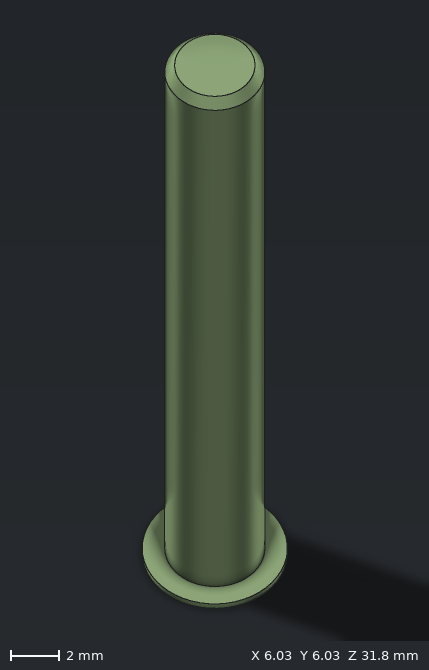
import cadquery as cq

total_length = 31.75
flange_diameter = 6.03
flange_thickness = 0.302
pin_diameter = 4.15
tip_chamfer = 0.4

flange = cq.Workplane("XY").circle(flange_diameter / 2).extrude(flange_thickness)

pin = (
    cq.Workplane("XY")
    .circle(pin_diameter / 2)
    .extrude(total_length)
    .faces(">Z")
    .chamfer(tip_chamfer)
)

result = flange.union(pin)